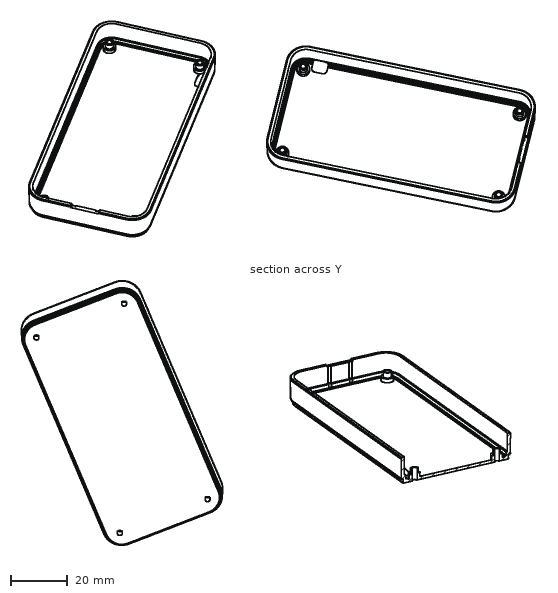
import cadquery as cq

width = 45.0
length = 90.0
height = 10.2
corner_radius = 7.0
rim_chamfer = 0.4
draft_angle = 1.0
bevel_angle = 45

foot_height = 1.6
foot_inset = 0.9
foot_chamfer = 0.3
body_chamfer = 0.5
body_chamfer_inset = 0.3

wall = 1.4
ledge_z = 3.15
ledge_inset = 2.0
ledge_bevel = 0.2
strip_inset = 2.5
strip_bevel = 0.3
floor_z = 1.35
strip_z = floor_z + strip_bevel

post_inset = 5.8
post_diameter = 4.5
post_height = 1.4
spigot_diameter = 3.0
spigot_height = 2.0
screw_diameter = 1.8

housing_x = 16.9
housing_y = 33.7
housing_width = 5.5
housing_base_z = 0.8
housing_height = 2.9
housing_front_radius = 2.8
housing_end_radius = 1.35

notch_top_width = 10.6
notch_bottom_width = 10.1
notch_depth = 0.6

relief_start = 3.7
relief_width = 1.2
relief_depth = 0.3


def outline(inset):
    """Rounded rectangle of the tray, moved inwards by inset."""
    sketch = cq.Sketch().rect(width - 2 * inset, length - 2 * inset)
    return sketch.vertices().fillet(corner_radius - inset)


def layer(inset, z_start, z_end, taper=0):
    """Slab with the outline at z_start, extruded up or down to z_end while narrowing by taper degrees."""
    start = cq.Workplane("XY", origin=(0, 0, z_start)).placeSketch(outline(inset))
    return start.extrude(z_end - z_start, taper=taper)


def make_outside():
    rim_z = height - rim_chamfer
    body = layer(0, rim_z, foot_height, draft_angle)
    body = body.faces("<Z").chamfer(body_chamfer, body_chamfer_inset)
    rim = layer(0, rim_z, height, bevel_angle)
    foot = layer(foot_inset, 0, foot_height).faces("<Z").chamfer(foot_chamfer)
    return body.union(rim).union(foot)


def make_cavity():
    upper = layer(wall, height, ledge_z, draft_angle)
    bevel = layer(ledge_inset - ledge_bevel, ledge_z, ledge_z - ledge_bevel, bevel_angle)
    lower = layer(ledge_inset, ledge_z - ledge_bevel, strip_z)
    return upper.union(bevel).union(lower)


def make_reliefs(cavity):
    """Parts of the cavity pushed into the -Y wall below the ends of the notch."""
    shifted = cavity.translate((0, -relief_depth, 0))
    relief_x = relief_start + relief_width / 2
    columns = cq.Workplane("XY").pushPoints([(-relief_x, -length / 4), (relief_x, -length / 4)])
    columns = columns.rect(relief_width, length / 2).extrude(height)
    return shifted.intersect(columns)


def make_housing():
    """Pod with a quarter-round front and rounded ends, its base sunk a little into the floor."""
    depth = width / 2 - ledge_inset + ledge_bevel - housing_x
    block = cq.Workplane("XY").box(depth, housing_width, housing_height, centered=(False, True, False))
    block = block.edges("<X and >Z").fillet(housing_front_radius)
    block = block.faces("<Y or >Y").edges("not(<Z or >X)").fillet(housing_end_radius)
    return block.translate((housing_x, housing_y, housing_base_z))


def make_notch():
    return (
        cq.Workplane("XZ", origin=(0, -length / 2, height))
        .moveTo(-notch_top_width / 2, 0)
        .lineTo(-notch_bottom_width / 2, -notch_depth)
        .lineTo(notch_bottom_width / 2, -notch_depth)
        .lineTo(notch_top_width / 2, 0)
        .close()
        .extrude(-ledge_inset)
    )


def at_posts(z):
    spacing = (width - 2 * post_inset, length - 2 * post_inset)
    return cq.Workplane("XY", origin=(0, 0, z)).rect(*spacing, forConstruction=True).vertices()


post_top = floor_z + post_height
posts = at_posts(floor_z).circle(post_diameter / 2).extrude(post_height)
spigots = at_posts(post_top).circle(spigot_diameter / 2).extrude(spigot_height)
screw_holes = at_posts(0).circle(screw_diameter / 2).extrude(height)

cavity = make_cavity()
floor_recess = layer(strip_inset, strip_z, floor_z, bevel_angle)
shell = make_outside().cut(cavity).cut(floor_recess).cut(make_reliefs(cavity))

result = shell.union(make_housing()).union(posts).union(spigots)
result = result.cut(make_notch()).cut(screw_holes)